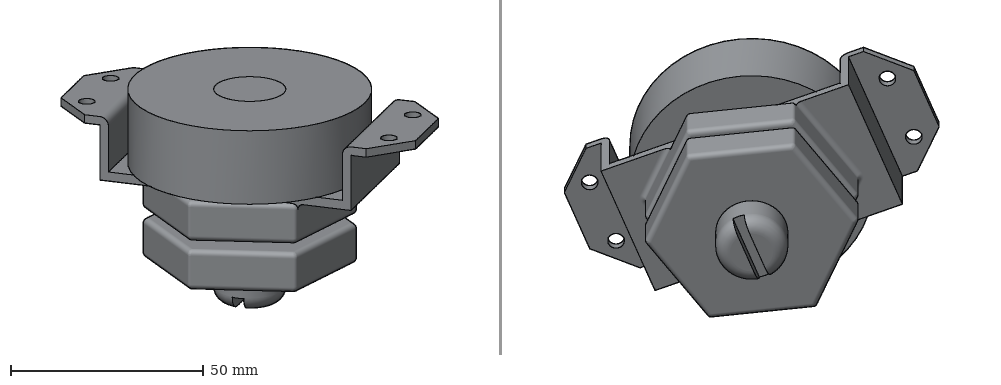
import cadquery as cq

DISC_DIAMETER = 63.5
DISC_HEIGHT = 20.3

SHAFT_DIAMETER = 18.8
SHAFT_TIP_FILLET = 3.8
TOTAL_HEIGHT = 58.4
SLOT_WIDTH = 3.1
SLOT_DEPTH = 3.7

STRIP_THICKNESS = 2.3
BASE_THICKNESS = 2.5
STRIP_WIDTH = 38.0
EAR_SPAN = 97.8
BASE_LENGTH = 69.2
EAR_TOP_DROP = 5.3
EAR_CHAMFER = 10.1
EAR_HOLE_DIAMETER = 4.3
EAR_HOLE_SPACING_X = 83.3
EAR_HOLE_SPACING_Y = 18.6

HEX_CORNER_DIAMETER = 55.9
HEX_TURN = 15.0
HEX_HEIGHT = 11.0
HEX_CORNER_FILLET = 1.0
HEX_RIM_FILLET = 1.5
NUT_GAP = 2.5

disc_top = DISC_HEIGHT
shaft_bottom = disc_top - TOTAL_HEIGHT
ear_top = disc_top - EAR_TOP_DROP
boss_top = -BASE_THICKNESS
boss_bottom = boss_top - HEX_HEIGHT
nut_bottom = boss_bottom - NUT_GAP - HEX_HEIGHT


def shaft_cylinder():
    """Plain full-length cylinder that the shaft and its holes share."""
    return cq.Workplane("XY").workplane(offset=shaft_bottom).circle(SHAFT_DIAMETER / 2).extrude(TOTAL_HEIGHT)


def cut_bore(body):
    """Cut the hole for the shaft through a body."""
    return body.cut(shaft_cylinder())


def hex_prism(bottom):
    """Turned hexagonal prism with rounded corners and sharp rims."""
    prism = cq.Workplane("XY").polygon(6, HEX_CORNER_DIAMETER).extrude(HEX_HEIGHT)
    prism = prism.edges("|Z").fillet(HEX_CORNER_FILLET)
    return prism.rotate((0, 0, 0), (0, 0, 1), HEX_TURN).translate((0, 0, bottom))


def rounded_hex(bottom):
    """Hexagonal prism with both rims rounded."""
    return hex_prism(bottom).faces("<Z or >Z").edges().fillet(HEX_RIM_FILLET)


def make_disc():
    disc = cq.Workplane("XY").circle(DISC_DIAMETER / 2).extrude(DISC_HEIGHT)
    return cut_bore(disc)


def make_shaft():
    shaft = shaft_cylinder().faces("<Z").edges().fillet(SHAFT_TIP_FILLET)
    slot = cq.Workplane("XY").workplane(offset=shaft_bottom).rect(SLOT_WIDTH, SHAFT_DIAMETER).extrude(SLOT_DEPTH)
    return shaft.cut(slot)


def make_base():
    base = cq.Workplane("XY").workplane(offset=boss_top)
    return base.rect(BASE_LENGTH, STRIP_WIDTH).extrude(BASE_THICKNESS)


def make_arm():
    """Upright wall and outward ear on the +X side, standing on the base."""
    wall_outside = BASE_LENGTH / 2
    wall_inside = wall_outside - STRIP_THICKNESS
    ear_underside = ear_top - STRIP_THICKNESS
    ear_end = EAR_SPAN / 2
    arm = (
        cq.Workplane("XZ")
        .moveTo(wall_inside, 0)
        .lineTo(wall_inside, ear_underside)
        .radiusArc((wall_outside, ear_top), STRIP_THICKNESS)
        .lineTo(ear_end, ear_top)
        .lineTo(ear_end, ear_underside)
        .lineTo(wall_outside, ear_underside)
        .lineTo(wall_outside, 0)
        .close()
        .extrude(STRIP_WIDTH / 2, both=True)
    )
    arm = arm.faces(">X").edges("|Z").chamfer(EAR_CHAMFER)
    hole_x = EAR_HOLE_SPACING_X / 2
    hole_y = EAR_HOLE_SPACING_Y / 2
    holes = (
        cq.Workplane("XY")
        .workplane(offset=ear_underside)
        .pushPoints([(hole_x, -hole_y), (hole_x, hole_y)])
        .circle(EAR_HOLE_DIAMETER / 2)
        .extrude(STRIP_THICKNESS)
    )
    return arm.cut(holes)


def make_boss():
    """Rounded hexagon with a concave fillet where it meets the strip."""
    plate = cq.Workplane("XY").workplane(offset=boss_top)
    plate = plate.rect(BASE_LENGTH, BASE_LENGTH).extrude(BASE_THICKNESS)
    flared = plate.union(hex_prism(boss_bottom))
    junction = cq.selectors.BoxSelector(
        (-HEX_CORNER_DIAMETER / 2, -HEX_CORNER_DIAMETER / 2, boss_top - HEX_RIM_FILLET / 2),
        (HEX_CORNER_DIAMETER / 2, HEX_CORNER_DIAMETER / 2, boss_top + HEX_RIM_FILLET / 2),
    )
    flared = flared.edges(junction).fillet(HEX_RIM_FILLET)
    strip_zone = cq.Workplane("XY").workplane(offset=boss_top - HEX_RIM_FILLET)
    strip_zone = strip_zone.rect(BASE_LENGTH, STRIP_WIDTH).extrude(HEX_RIM_FILLET)
    return rounded_hex(boss_bottom).union(flared.intersect(strip_zone))


def make_bracket():
    arm = make_arm()
    bracket = make_base().union(arm).union(arm.mirror("YZ")).union(make_boss())
    return cut_bore(bracket)


def make_nut():
    return cut_bore(rounded_hex(nut_bottom))


bodies = [make_disc(), make_shaft(), make_bracket(), make_nut()]
result = cq.Compound.makeCompound([body.solids().val() for body in bodies])